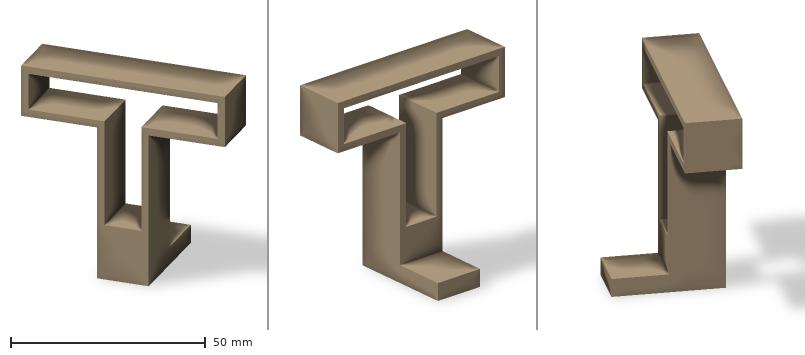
import cadquery as cq

height = 56.3
head_width = 56.1
foot_depth = 30.0

head_height = 14.1
stem_width = 14.2
frame_depth = foot_depth / 2
wall = 2.0
slot_floor = 15.2
foot_height = 5.0


def block(width, depth, bottom, top):
    """Box centred on X, running back from the front plane between two heights."""
    return (
        cq.Workplane("XY")
        .box(width, depth, top - bottom, centered=(True, False, False))
        .translate((0, 0, bottom))
    )


head_bottom = height - head_height
head = block(head_width, frame_depth, head_bottom, height)
stem = block(stem_width, frame_depth, 0, head_bottom)
foot = block(stem_width, foot_depth, 0, foot_height)

opening_top = height - wall
head_opening = block(head_width - 2 * wall, frame_depth, head_bottom + wall, opening_top)
stem_slot = block(stem_width - 2 * wall, frame_depth, slot_floor, opening_top)

result = head.union(stem).union(foot).cut(head_opening).cut(stem_slot)